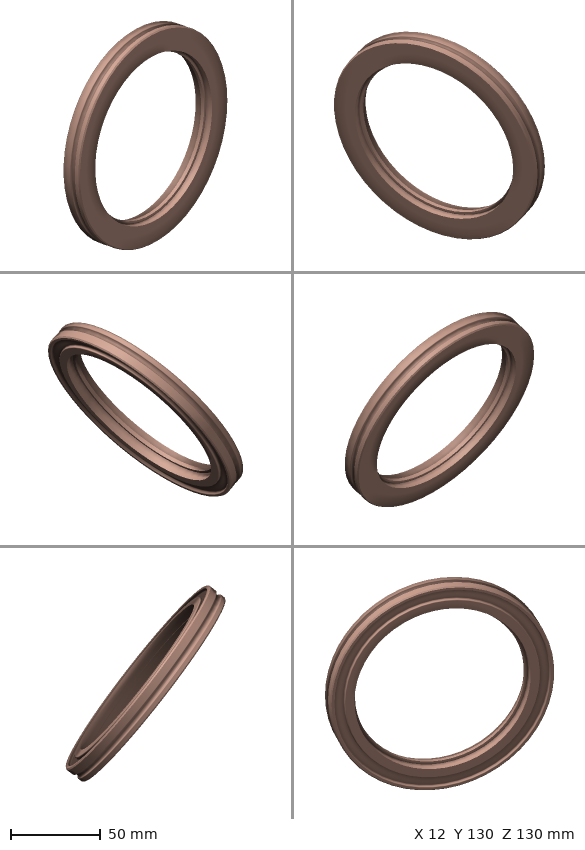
import cadquery as cq
import math

outer_radius = 130 / 2
width = 12.0

lip_radius = 98.5 / 2
front_bore_radius = 102.2 / 2
rear_bore_radius = 102.0 / 2
lip_front = 5.5
lip_rear = 7.7

chamfer_length = 0.8
chamfer_height = 0.6

groove_center = 7.0
groove_depth = 1.4
groove_arc_radius = 1.5
groove_edge_radius = 0.5

recess_inner_radius = 113.2 / 2
recess_outer_radius = 125.0 / 2
recess_depth = 2.0
recess_fillet = 0.5


def revolve_about_x(profile):
    return profile.revolve(360, (0, 0, 0), (1, 0, 0))


def ring_body():
    """Ring with chamfered rims, outer groove and stepped bore."""
    shoulder_radius = outer_radius - chamfer_height

    center_distance = groove_arc_radius + groove_edge_radius
    center_rise = center_distance - groove_depth
    edge_offset = math.sqrt(center_distance**2 - center_rise**2)
    arc_share = groove_arc_radius / center_distance
    tangent_offset = edge_offset * arc_share
    arc_center_radius = outer_radius - groove_depth + groove_arc_radius
    tangent_radius = arc_center_radius - center_rise * arc_share

    profile = (
        cq.Workplane("XY")
        .moveTo(0, front_bore_radius)
        .lineTo(0, shoulder_radius)
        .lineTo(chamfer_length, outer_radius)
        .lineTo(groove_center - edge_offset, outer_radius)
        .tangentArcPoint((groove_center - tangent_offset, tangent_radius), relative=False)
        .tangentArcPoint((groove_center + tangent_offset, tangent_radius), relative=False)
        .tangentArcPoint((groove_center + edge_offset, outer_radius), relative=False)
        .lineTo(width - chamfer_length, outer_radius)
        .lineTo(width, shoulder_radius)
        .lineTo(width, rear_bore_radius)
        .lineTo(lip_rear, rear_bore_radius)
        .lineTo(lip_rear, lip_radius)
        .lineTo(lip_front, lip_radius)
        .lineTo(lip_front, front_bore_radius)
        .close()
    )
    return revolve_about_x(profile)


def face_recess():
    """Annular pocket open to the front face, flared at its mouth."""
    floor_start = recess_depth - recess_fillet
    profile = (
        cq.Workplane("XY")
        .moveTo(0, recess_inner_radius - recess_fillet)
        .radiusArc((recess_fillet, recess_inner_radius), recess_fillet)
        .lineTo(floor_start, recess_inner_radius)
        .radiusArc((recess_depth, recess_inner_radius + recess_fillet), -recess_fillet)
        .lineTo(recess_depth, recess_outer_radius - recess_fillet)
        .radiusArc((floor_start, recess_outer_radius), -recess_fillet)
        .lineTo(recess_fillet, recess_outer_radius)
        .radiusArc((0, recess_outer_radius + recess_fillet), recess_fillet)
        .close()
    )
    return revolve_about_x(profile)


result = ring_body().cut(face_recess())